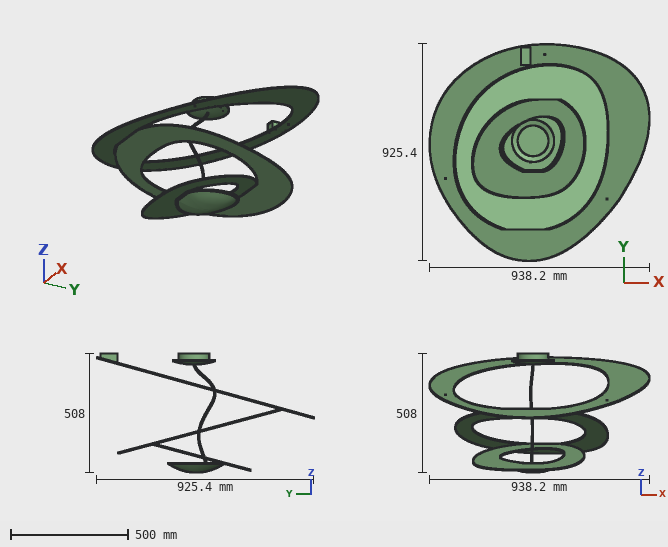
import cadquery as cq
import math


SHEET_THICKNESS = 5.0
OUTER_TILT = 15.5
MIDDLE_TILT = -15.0
INNER_TILT = 15.0

OUTER_FOLD_Y = -378.0
MIDDLE_FOLD_Y = 176.0
INNER_FOLD_Y = -131.0
OUTER_FOLD_Z = -237.0
MIDDLE_FOLD_Z = OUTER_FOLD_Z + (MIDDLE_FOLD_Y - OUTER_FOLD_Y) * math.tan(math.radians(MIDDLE_TILT))
INNER_FOLD_Z = MIDDLE_FOLD_Z + (INNER_FOLD_Y - MIDDLE_FOLD_Y) * math.tan(math.radians(INNER_TILT))

OUTER_RING_EDGE = [
    (415.0, -170.0), (329.0, 353.5), (141.0, 407.0), (-142.0, 379.0), (-382.0, 196.0), (-441.0, -39.0),
    (-294.0, -361.0), (-115.0, -495.0), (59.0, -502.0), (351.0, -273.0),
]
OUTER_RING_HOLE = [
    (66.0, OUTER_FOLD_Y), (224.0, -280.0), (322.0, 50.0), (248.5, 268.0), (163.0, 314.0), (-212.0, 214.0),
    (-322.0, 30.0), (-326.0, -179.0), (-128.0, OUTER_FOLD_Y),
]
MIDDLE_RING_EDGE = [
    (50.0, OUTER_FOLD_Y), (221.0, -279.0), (319.0, 12.0), (243.0, 272.0), (37.5, 321.0), (-221.0, 198.0),
    (-315.0, 31.0), (-323.5, -164.0), (-115.0, OUTER_FOLD_Y),
]
MIDDLE_RING_HOLE = [
    (-6.0, MIDDLE_FOLD_Y), (-170.0, 102.0), (-260.0, -93.0), (-244.0, -169.0), (-7.5, -243.0),
    (129.0, -208.0), (223.0, 0.0), (116.0, MIDDLE_FOLD_Y),
]
INNER_RING_EDGE = [
    (26.0, MIDDLE_FOLD_Y), (-169.0, 96.0), (-248.0, -35.0), (-240.0, -170.0), (-8.0, -241.0),
    (128.0, -206.0), (218.0, 18.0), (106.0, MIDDLE_FOLD_Y),
]
INNER_RING_HOLE = [
    (44.0, INNER_FOLD_Y), (116.0, -61.0), (103.0, 89.0), (48.0, 104.0), (-41.0, 79.0), (-112.0, 29.0),
    (-122.0, 17.0), (-42.0, INNER_FOLD_Y),
]

WIRE_HOLE_DIAMETER = 4.0
WIRE_HOLE_CENTRES = [(50.0, 368.5), (-373.0, -160.0), (315.0, -248.0)]

BLOCK_X = (-51.0, -11.0)
BLOCK_Y = (324.0, 398.5)

DISH_WIDTH_RATIO = 0.96
DISH_LENGTH_RATIO = 1.026
DISH_CENTRE_Y = -8.0
DISH_BOTTOM_Z = -508.0
DISH_RIM_HEIGHT = 3.0
DISH_SECTION_RATIOS = (0.8, 0.55, 0.3, 0.1)
DISH_RIM_TOP_Z = INNER_FOLD_Z + DISH_RIM_HEIGHT / 2
TRAY_TOP_RATIO = 0.98
TRAY_FLOOR_RATIO = 0.94
TRAY_DEPTH = 5.0
TRAY_FLOOR_Z = DISH_RIM_TOP_Z - TRAY_DEPTH

PLATE_LENGTH = 141.0
PLATE_WIDTH = 51.0
PLATE_HEIGHT = 0.5
PLATE_ANGLE = 20.0
PLATE_CENTRE = (4.0, -6.0)

CANOPY_DRUM_RADIUS = 66.0
CANOPY_DRUM_BOTTOM_Z = -35.0
CANOPY_RIM_RADIUS = 90.0
CANOPY_RIM_TOP_Z = -27.0
CANOPY_RIM_BOTTOM_Z = -33.0
CANOPY_BOTTOM_Z = -48.0

CABLE_DIAMETER = 6.0
CABLE_END_DEPTH = 2.0
CABLE_PATH = [
    (0.0, 0.0, CANOPY_BOTTOM_Z + CABLE_END_DEPTH), (-3.0, -22.5, -81.0), (-7.0, -60.0, -114.0),
    (-10.0, -89.0, -165.0), (-7.0, -66.0, -233.0), (-3.0, -31.0, -301.0), (-3.0, -21.0, -352.0),
    (-5.0, -35.0, -419.0), (-6.0, -54.0, TRAY_FLOOR_Z - CABLE_END_DEPTH),
]


def sheet_plane(fold_y, fold_z, tilt):
    """Plane through a fold line that rises toward +Y by the tilt angle."""
    angle = math.radians(tilt)
    return cq.Plane(
        origin=(0, fold_y, fold_z), xDir=(1, 0, 0), normal=(0, -math.sin(angle), math.cos(angle))
    )


def on_sheet(plan_points, fold_y, tilt):
    """Plan points converted to the sheet's own flat coordinates."""
    stretch = 1 / math.cos(math.radians(tilt))
    return [(x, (y - fold_y) * stretch) for x, y in plan_points]


def sheet_blank(plane, points, is_loop):
    """Sheet of the shade, centred on its plane; an outline that is no loop closes along its fold."""
    curve = cq.Workplane(plane).spline(points, periodic=is_loop)
    outline = curve.wire() if is_loop else curve.close()
    return outline.extrude(SHEET_THICKNESS / 2, both=True)


def make_ring(plane, fold_y, tilt, edge, hole, edge_is_loop):
    """Flat ring in a tilted plane; the fold line at fold_y is the plane's local X axis."""
    blank = sheet_blank(plane, on_sheet(edge, fold_y, tilt), edge_is_loop)
    return blank.cut(sheet_blank(plane, on_sheet(hole, fold_y, tilt), False))


def make_outer_ring():
    plane = sheet_plane(OUTER_FOLD_Y, OUTER_FOLD_Z, OUTER_TILT)
    ring = make_ring(plane, OUTER_FOLD_Y, OUTER_TILT, OUTER_RING_EDGE, OUTER_RING_HOLE, True)
    holes = (
        cq.Workplane(plane)
        .pushPoints(on_sheet(WIRE_HOLE_CENTRES, OUTER_FOLD_Y, OUTER_TILT))
        .circle(WIRE_HOLE_DIAMETER / 2)
        .extrude(SHEET_THICKNESS, both=True)
    )
    return ring.cut(holes)


def make_middle_ring():
    plane = sheet_plane(OUTER_FOLD_Y, OUTER_FOLD_Z, MIDDLE_TILT)
    return make_ring(plane, OUTER_FOLD_Y, MIDDLE_TILT, MIDDLE_RING_EDGE, MIDDLE_RING_HOLE, False)


def make_inner_ring():
    plane = sheet_plane(MIDDLE_FOLD_Y, MIDDLE_FOLD_Z, INNER_TILT)
    return make_ring(plane, MIDDLE_FOLD_Y, INNER_TILT, INNER_RING_EDGE, INNER_RING_HOLE, False)


def make_ceiling_block():
    """Wedge from ceiling height down to the middle of the outer ring's sheet."""
    slope = math.tan(math.radians(OUTER_TILT))
    front_y, back_y = BLOCK_Y
    front_z, back_z = (OUTER_FOLD_Z + (y - OUTER_FOLD_Y) * slope for y in BLOCK_Y)
    return (
        cq.Workplane("YZ", origin=(BLOCK_X[0], 0, 0))
        .polyline([(front_y, front_z), (back_y, back_z), (back_y, 0), (front_y, 0)])
        .close()
        .extrude(BLOCK_X[1] - BLOCK_X[0])
    )


def dish_section(ratio, z):
    """Dish outline at height z, shrunk by the ratio toward the dish centre."""
    points = []
    for x, y in INNER_RING_HOLE:
        flat_y = INNER_FOLD_Y + (y - INNER_FOLD_Y) * DISH_LENGTH_RATIO
        points.append(
            cq.Vector(x * DISH_WIDTH_RATIO * ratio, DISH_CENTRE_Y + (flat_y - DISH_CENTRE_Y) * ratio, z)
        )
    curve = cq.Edge.makeSpline(points)
    return cq.Wire.assembleEdges([curve, cq.Edge.makeLine(points[-1], points[0])])


def make_dish():
    """Bowl with a parabolic underside, a short upright rim and a shallow flat-floored tray."""
    rim_bottom_z = DISH_RIM_TOP_Z - DISH_RIM_HEIGHT
    smallest_drop = 1 - DISH_SECTION_RATIOS[-1] ** 2
    bowl_depth = (rim_bottom_z - DISH_BOTTOM_Z) / smallest_drop

    sections = [dish_section(1, rim_bottom_z)]
    for ratio in DISH_SECTION_RATIOS:
        sections.append(dish_section(ratio, rim_bottom_z - bowl_depth * (1 - ratio**2)))
    bowl = cq.Workplane(cq.Solid.makeLoft(sections))

    rim = cq.Workplane(
        cq.Solid.makeLoft([dish_section(1, rim_bottom_z), dish_section(1, DISH_RIM_TOP_Z)], True)
    )
    tray = cq.Workplane(
        cq.Solid.makeLoft(
            [dish_section(TRAY_FLOOR_RATIO, TRAY_FLOOR_Z), dish_section(TRAY_TOP_RATIO, DISH_RIM_TOP_Z)],
            True,
        )
    )
    plate = (
        cq.Workplane("XY", origin=(*PLATE_CENTRE, TRAY_FLOOR_Z))
        .transformed(rotate=(0, 0, PLATE_ANGLE))
        .rect(PLATE_LENGTH, PLATE_WIDTH)
        .extrude(PLATE_HEIGHT)
    )
    return bowl.union(rim).cut(tray).union(plate)


def make_shade(cable_body):
    """All three rings, the ceiling block and the dish with its cable socket, as one solid."""
    dish = make_dish().cut(cable_body)
    return (
        make_outer_ring()
        .union(make_ceiling_block())
        .union(make_middle_ring())
        .union(make_inner_ring())
        .union(dish)
    )


def make_canopy():
    """Drum standing in a shallow round bowl."""
    mid_radius = CANOPY_RIM_RADIUS / 2
    mid_z = CANOPY_BOTTOM_Z + (CANOPY_RIM_BOTTOM_Z - CANOPY_BOTTOM_Z) / 4
    return (
        cq.Workplane("XZ")
        .lineTo(CANOPY_DRUM_RADIUS, 0)
        .lineTo(CANOPY_DRUM_RADIUS, CANOPY_DRUM_BOTTOM_Z)
        .lineTo(CANOPY_RIM_RADIUS, CANOPY_RIM_TOP_Z)
        .lineTo(CANOPY_RIM_RADIUS, CANOPY_RIM_BOTTOM_Z)
        .threePointArc((mid_radius, mid_z), (0, CANOPY_BOTTOM_Z))
        .close()
        .revolve(360, (0, 0, 0), (0, 1, 0))
    )


def make_cable():
    """Round cable along its curved path, with both ends a little way inside their sockets."""
    path = cq.Workplane("XY").spline([cq.Vector(*point) for point in CABLE_PATH])
    start_direction = path.val().tangentAt(0)
    start_plane = cq.Plane(origin=CABLE_PATH[0], xDir=(1, 0, 0), normal=start_direction.toTuple())
    return cq.Workplane(start_plane).circle(CABLE_DIAMETER / 2).sweep(path)


cable = make_cable()
canopy = make_canopy().cut(cable)
shade = make_shade(cable)

result = cq.Compound.makeCompound([shade.val(), canopy.val(), cable.val()])